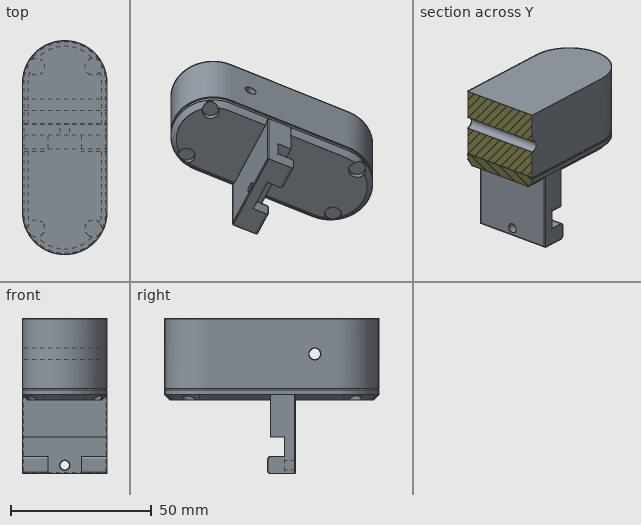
import cadquery as cq

length = 76.0
width = 30.0
end_radius = width / 2
end_centre = length / 2 - end_radius

total_height = 55.0
housing_height = 24.85
housing_bottom = total_height - housing_height

cable_hole_diameter = 4.1
cable_hole_y = 15.3
cable_hole_drop = 12.55
cable_hole_z = total_height - cable_hole_drop

cover_thickness = 4.1
top_bevel = 0.5
bottom_bevel = 2.0
cover_bottom = housing_bottom - cover_thickness

recess_diameter = 6.0
recess_depth = bottom_bevel
recess_x = 10.1
recess_beyond_end_centre = 5.7
recess_y = end_centre + recess_beyond_end_centre

bracket_top = cover_bottom + bottom_bevel
bracket_back = 8.5
leg_thickness = 9.05
web_thickness = 4.0
hook_reach = 9.95
notch_bottom = 6.1
notch_top = 13.0
hook_rounding = 1.1
back_bevel = 0.4
hook_gap = 12.0
bracket_hole_diameter = 3.4
bracket_hole_z = 3.0


def stadium(bottom, height):
    """A straight-sided block with round ends."""
    return (
        cq.Workplane("XY", origin=(0, 0, bottom))
        .slot2D(length, width, 90)
        .extrude(height)
    )


def make_housing():
    cable_hole = (
        cq.Workplane("YZ", origin=(-width / 2, cable_hole_y, cable_hole_z))
        .circle(cable_hole_diameter / 2)
        .extrude(width)
    )
    return stadium(housing_bottom, housing_height).cut(cable_hole)


def make_bracket():
    front = bracket_back - leg_thickness
    web_front = bracket_back - web_thickness
    hook_front = bracket_back - hook_reach
    profile = [
        (bracket_back, 0),
        (bracket_back, bracket_top),
        (front, bracket_top),
        (front, notch_top),
        (web_front, notch_top),
        (web_front, notch_bottom),
        (hook_front, notch_bottom),
        (hook_front, 0),
    ]
    bracket = (
        cq.Workplane("YZ", origin=(-width / 2, 0, 0))
        .polyline(profile)
        .close()
        .extrude(width)
    )
    bracket = bracket.faces("<Y").edges("|X").fillet(hook_rounding)
    bracket = bracket.faces(">Y").edges("|Z or <Z").chamfer(back_bevel)
    prong_gap = cq.Workplane("XY").box(
        hook_gap, hook_reach - web_thickness, notch_bottom, centered=(True, False, False)
    )
    bracket = bracket.cut(prong_gap.translate((0, hook_front, 0)))
    screw_hole = (
        cq.Workplane("XZ", origin=(0, bracket_back, bracket_hole_z))
        .circle(bracket_hole_diameter / 2)
        .extrude(web_thickness)
    )
    return bracket.cut(screw_hole)


def make_cover(bracket):
    cover = stadium(cover_bottom, cover_thickness)
    cover = cover.faces("<Z").edges().chamfer(bottom_bevel)
    cover = cover.faces(">Z").edges().chamfer(top_bevel)
    for x in (-recess_x, recess_x):
        for y in (-recess_y, recess_y):
            recess = (
                cq.Workplane("XY", origin=(x, y, cover_bottom))
                .circle(recess_diameter / 2)
                .extrude(recess_depth)
            )
            cover = cover.cut(recess)
    return cover.cut(bracket)


housing = make_housing()
bracket = make_bracket()
cover = make_cover(bracket)

result = cq.Compound.makeCompound([body.solids().val() for body in (housing, cover, bracket)])